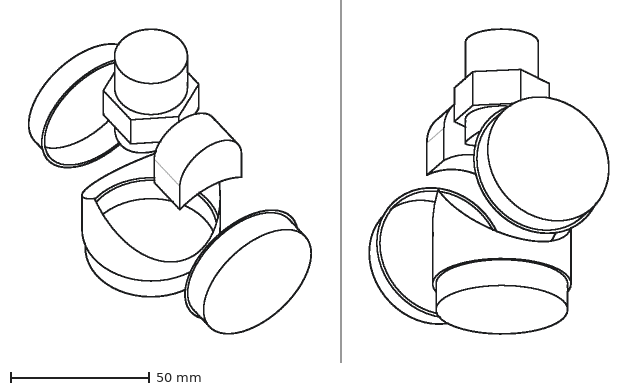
import cadquery as cq

total_length = 110.0
body_diameter = 50.0
end_diameter = 47.6
end_length = 10.0
branch_from_left = 43.1
branch_depth = 42.9
stem_diameter = 26.4
stem_top = 61.0
nut_flats = 30.0
nut_bottom = 31.1
nut_height = 13.1
lug_from_left = 64.6
lug_thickness = 16.1
lug_width = 27.3
lug_arc_height = 33.7

left_end = -branch_from_left
lug_radius = lug_width / 2
cos_30 = 3 ** 0.5 / 2
nut_corners = nut_flats / cos_30


def upright_cylinder(diameter, bottom, top):
    """Cylinder on the Z axis between two heights."""
    return cq.Workplane("XY").workplane(offset=bottom).circle(diameter / 2).extrude(top - bottom)


def cross_cylinder(diameter, start, length):
    """Cylinder on the X axis."""
    return cq.Workplane("YZ").workplane(offset=start).circle(diameter / 2).extrude(length)


body_length = total_length - 2 * end_length
main_run = cross_cylinder(end_diameter, left_end, total_length).union(
    cross_cylinder(body_diameter, left_end + end_length, body_length)
)

branch = upright_cylinder(body_diameter, end_length - branch_depth, 0).union(
    upright_cylinder(end_diameter, -branch_depth, 0)
)

stem = upright_cylinder(stem_diameter, 0, stem_top)
nut = cq.Workplane("XY").workplane(offset=nut_bottom).polygon(6, nut_corners).extrude(nut_height)

lug = (
    cq.Workplane("YZ")
    .workplane(offset=left_end + lug_from_left)
    .moveTo(-lug_radius, 0)
    .lineTo(-lug_radius, lug_arc_height)
    .threePointArc((0, lug_arc_height + lug_radius), (lug_radius, lug_arc_height))
    .lineTo(lug_radius, 0)
    .close()
    .extrude(lug_thickness)
)

result = main_run.union(branch).union(stem).union(nut).union(lug)